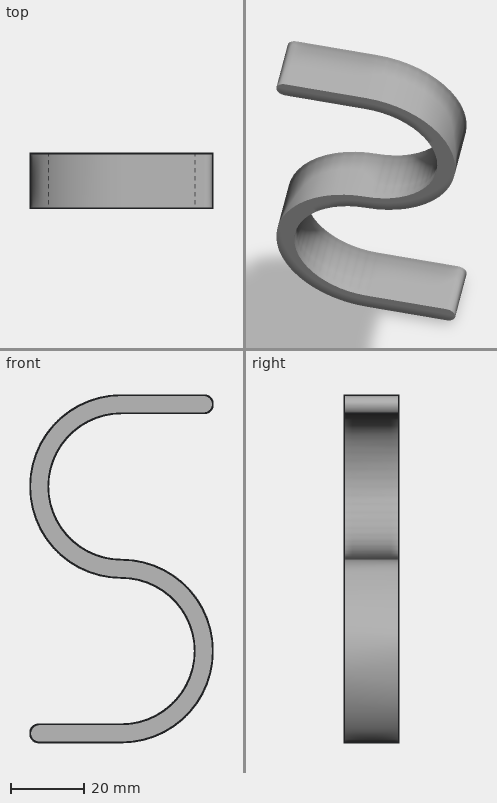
import cadquery as cq

height = 95.0
thickness = 5.0
depth = 15.0

half_thickness = thickness / 2
bend_radius = (height - thickness) / 4
outer_radius = bend_radius + half_thickness
inner_radius = bend_radius - half_thickness
leg_end = outer_radius - half_thickness

outer_edge = height / 2
inner_edge = outer_edge - thickness

outline = (
    cq.Workplane("XZ")
    .moveTo(leg_end, outer_edge)
    .lineTo(0, outer_edge)
    .threePointArc((-outer_radius, bend_radius), (0, -half_thickness))
    .threePointArc((inner_radius, -bend_radius), (0, -inner_edge))
    .lineTo(-leg_end, -inner_edge)
    .threePointArc((-outer_radius, -2 * bend_radius), (-leg_end, -outer_edge))
    .lineTo(0, -outer_edge)
    .threePointArc((outer_radius, -bend_radius), (0, half_thickness))
    .threePointArc((-inner_radius, bend_radius), (0, inner_edge))
    .lineTo(leg_end, inner_edge)
    .threePointArc((outer_radius, 2 * bend_radius), (leg_end, outer_edge))
    .close()
)

result = outline.extrude(depth / 2, both=True)